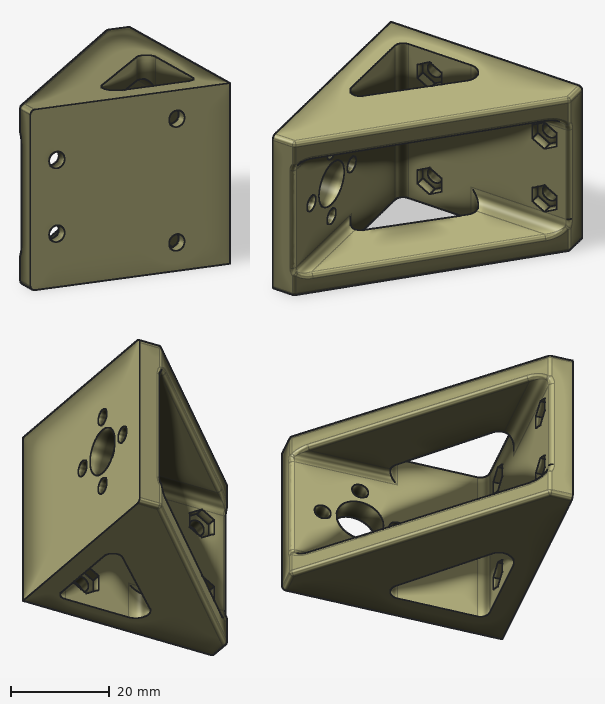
import cadquery as cq
import math


LENGTH = 47.0
DEPTH = 45.0
HEIGHT = 38.0

WALL = 5.0
EDGE_RADIUS = 1.0
CORNER_RADIUS = 2.0
SIDE_RADIUS = 3.0
CAVITY_HALF_HEIGHT = HEIGHT / 2 - WALL

WINDOW_LEG = 24.0

SCREW_DIAMETER = 3.5

SHAFT_DIAMETER = 10.0
SHAFT_X = -32.0
SCREW_CIRCLE_RADIUS = 8.0
SCREW_COUNT = 4

MOUNT_SCREWS = [(-12.0, 13.0), (-39.0, 7.75)]
NUT_ACROSS_FLATS = 5.7
NUT_DEPTH = 2.2


def make_blank():
    """Five-sided prism with rounded edges on the slope, the wall ends and the gussets."""
    outline = [
        (0, 0),
        (-LENGTH, 0),
        (-LENGTH, -WALL),
        (-WALL, -DEPTH),
        (0, -DEPTH),
    ]
    prism = cq.Workplane("XY").polyline(outline).close().extrude(HEIGHT / 2, both=True)
    for x, y in [(-LENGTH, -WALL), (-WALL, -DEPTH)]:
        prism = prism.edges(cq.selectors.NearestToPointSelector((x, y, 0))).fillet(EDGE_RADIUS)
    for z in (-HEIGHT / 2, HEIGHT / 2):
        wall_end = (-LENGTH, -WALL / 2, z)
        prism = prism.edges(cq.selectors.NearestToPointSelector(wall_end)).fillet(EDGE_RADIUS)
    return prism


def make_cavity():
    """Space between the walls and gussets, with rounded inner corners."""
    reach = 2 * LENGTH
    cavity = cq.Workplane("XY").box(reach, reach, 2 * CAVITY_HALF_HEIGHT)
    cavity = cavity.translate((-WALL - reach / 2, -WALL - reach / 2, 0))
    cavity = cavity.edges(">X and |Y").fillet(SIDE_RADIUS)
    return cavity.edges(">Y").fillet(CORNER_RADIUS)


def round_mouth(body):
    """Round the edge where the cavity opens through the slope."""
    mouth_edge = cq.selectors.NearestToPointSelector(
        (-(LENGTH + WALL) / 2, -(DEPTH + WALL) / 2, CAVITY_HALF_HEIGHT)
    )
    return body.edges(mouth_edge).fillet(EDGE_RADIUS)


def make_window():
    """Right-angled triangle with rounded corners, as tall as the part."""
    corners = [
        (-WALL, -WALL),
        (-WALL - WINDOW_LEG, -WALL),
        (-WALL, -WALL - WINDOW_LEG),
    ]
    window = cq.Workplane("XY").polyline(corners).close().extrude(HEIGHT / 2, both=True)
    window = window.edges("|Z and <Y").fillet(SIDE_RADIUS)
    return window.edges("|Z").edges(">Y").fillet(CORNER_RADIUS)


def make_shaft_holes():
    """Shaft hole and its ring of screw holes through the back wall."""
    wall_face = cq.Workplane("XZ").center(SHAFT_X, 0)
    shaft = wall_face.circle(SHAFT_DIAMETER / 2).extrude(WALL)
    screws = (
        wall_face.polarArray(SCREW_CIRCLE_RADIUS, 0, 360, SCREW_COUNT)
        .circle(SCREW_DIAMETER / 2)
        .extrude(WALL)
    )
    return shaft.union(screws)


def make_mount_holes():
    """Screw holes through the side wall, each with a nut pocket on the inside."""
    inner_face = cq.Workplane(cq.Plane(origin=(-WALL, 0, 0), xDir=(0, 0, 1), normal=(1, 0, 0)))
    pattern = inner_face.pushPoints([(side * z, -y) for y, z in MOUNT_SCREWS for side in (-1, 1)])
    screws = pattern.circle(SCREW_DIAMETER / 2).extrude(WALL)
    nuts = pattern.polygon(6, NUT_ACROSS_FLATS / math.cos(math.pi / 6)).extrude(NUT_DEPTH)
    return screws.union(nuts)


shell = round_mouth(make_blank().cut(make_cavity()))
result = shell.cut(make_window()).cut(make_shaft_holes()).cut(make_mount_holes())